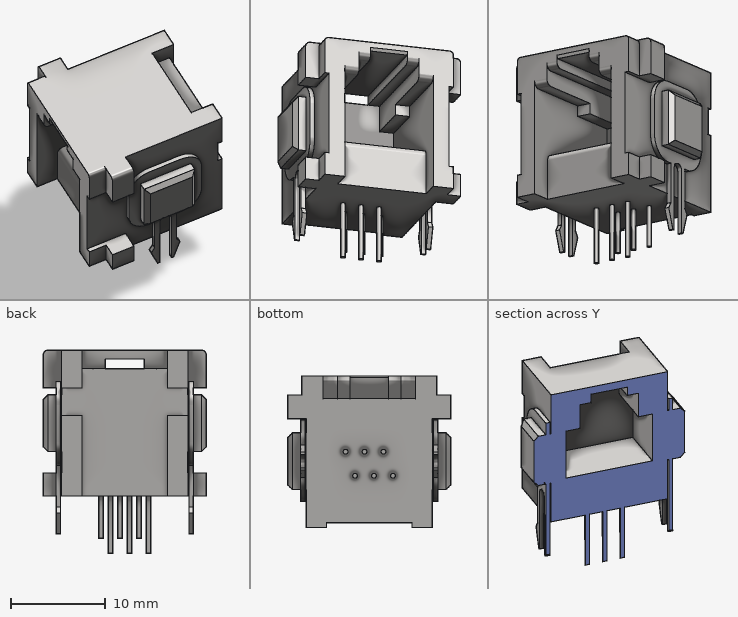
import cadquery as cq

BODY_WIDTH = 13.3
BODY_DEPTH = 16.0
BODY_HEIGHT = 15.4

EAR_SPAN = 17.2
EAR_FRONT = 2.0
EAR_BACK = 4.55
FLANGE_SPAN = 14.25
LOWER_EAR_TOP = 2.45
UPPER_EAR_BOTTOM = 11.4
EAR_ROUND = 0.5
FLANGE_ROUND = 0.4

CAVITY_WIDTH = 9.8
CAVITY_BACK = 13.45
LATCH_WIDTH = 6.65
SLOT_WIDTH = 4.1
SHOULDER_HEIGHT = 11.75
LATCH_HEIGHT = 13.45
SLOT_HEIGHT = 14.45
ENTRY_ROUND = 0.7
SLOT_LEAD_HEIGHT = 0.35
SLOT_LEAD_DEPTH = 0.15
STOP_FRONT = 8.0
STOP_BOTTOM = 10.6

FLOOR_FRONT = 2.4
FLOOR_HEIGHT = 5.0
FLOOR_ROUND = 0.7

REAR_RECESS_WIDTH = 9.0
REAR_RECESS_DEPTH = 0.5
SIDE_NOTCH_BOTTOM = 8.5
SIDE_NOTCH_TOP = UPPER_EAR_BOTTOM

PAD_SIZE = 6.0
PAD_CHAMFER = 0.5
PAD_CENTER_Y = 9.0
PAD_CENTER_Z = BODY_HEIGHT / 2
PLATE_INNER_X = 6.75
PLATE_THICKNESS = 0.5
PLATE_FRONT = 4.65
PLATE_BACK = 13.25
PLATE_BOTTOM = 3.2
PLATE_TOP = 12.1
PLATE_ROUND = 2.5
LEG_HALF_WIDTH = 1.3
LEG_TIP_Z = -4.0
LEG_TIP_HALF_WIDTH = 0.95
BARB_HALF_WIDTH = 1.7
BARB_TOP_Z = -1.15
BARB_POINT_Z = -1.8
SPLIT_WIDTH = 1.4
SPLIT_TOP_Z = 3.5

PIN_DIAMETER = 0.5
PIN_PITCH = 1.0
PIN_COUNT = 6
PIN_ROW_SPACING = 2.54
LONG_PIN_LENGTH = 6.04
LONG_PIN_Y = 8.0
SHORT_PIN_LENGTH = 4.45
SHORT_PIN_Y = LONG_PIN_Y + PIN_ROW_SPACING


def block(width, y_range, z_range):
    """Box centred on x = 0 that fills the given y and z ranges."""
    (y0, y1), (z0, z1) = y_range, z_range
    return cq.Workplane("XY").box(width, y1 - y0, z1 - z0, centered=(True, False, False)).translate((0, y0, z0))


def make_shell():
    """Outer housing with the ears, the front flange and the rear face cuts."""
    shell = block(BODY_WIDTH, (0, BODY_DEPTH), (0, BODY_HEIGHT))
    lower = (0, LOWER_EAR_TOP)
    upper = (UPPER_EAR_BOTTOM, BODY_HEIGHT)
    for span, y_range, rounding in (
        (EAR_SPAN, (EAR_FRONT, EAR_BACK), EAR_ROUND),
        (FLANGE_SPAN, (0, EAR_FRONT), FLANGE_ROUND),
    ):
        upper_bar = block(span, y_range, upper).edges("|Y and >Z").fillet(rounding)
        shell = shell.union(block(span, y_range, lower)).union(upper_bar)

    recess_front = BODY_DEPTH - REAR_RECESS_DEPTH
    rear = (recess_front, BODY_DEPTH)
    shell = shell.cut(block(REAR_RECESS_WIDTH, rear, (0, BODY_HEIGHT)))
    shell = shell.cut(block(BODY_WIDTH, rear, (SIDE_NOTCH_BOTTOM, SIDE_NOTCH_TOP)))
    return shell.cut(block(REAR_RECESS_WIDTH, (CAVITY_BACK, BODY_DEPTH), (LATCH_HEIGHT, BODY_HEIGHT)))


def rounded_entry_channel(width, roof_height):
    """Full-depth channel whose roof is rounded over at the mating face."""
    profile = (
        cq.Workplane("YZ")
        .moveTo(0, 0)
        .lineTo(CAVITY_BACK, 0)
        .lineTo(CAVITY_BACK, roof_height)
        .lineTo(ENTRY_ROUND, roof_height)
        .radiusArc((0, roof_height + ENTRY_ROUND), ENTRY_ROUND)
        .close()
    )
    return profile.extrude(width / 2, both=True)


def make_latch_slot():
    """Slot in the roof running through to the rear, with a sloped lead-in at the mating face."""
    profile = (
        cq.Workplane("YZ")
        .moveTo(0, FLOOR_HEIGHT)
        .lineTo(CAVITY_BACK, FLOOR_HEIGHT)
        .lineTo(CAVITY_BACK, SLOT_HEIGHT)
        .lineTo(SLOT_LEAD_DEPTH, SLOT_HEIGHT)
        .lineTo(0, SLOT_HEIGHT + SLOT_LEAD_HEIGHT)
        .close()
    )
    return profile.extrude(SLOT_WIDTH / 2, both=True)


def make_cavity():
    """Plug opening: wide channel, latch channel and slot, less the floor block and plug stops."""
    floor = block(CAVITY_WIDTH, (FLOOR_FRONT, CAVITY_BACK), (0, FLOOR_HEIGHT))
    floor = floor.edges("|X and <Y and >Z").fillet(FLOOR_ROUND)
    stops = block(CAVITY_WIDTH, (STOP_FRONT, CAVITY_BACK), (STOP_BOTTOM, SHOULDER_HEIGHT))
    cavity = rounded_entry_channel(CAVITY_WIDTH, SHOULDER_HEIGHT).cut(floor).cut(stops)
    latch = rounded_entry_channel(LATCH_WIDTH, LATCH_HEIGHT).cut(floor)
    return cavity.union(latch).union(make_latch_slot())


def make_clip():
    """Clip on the +X side: chamfered pad, rounded plate and split barbed leg."""
    pad_inner_x = BODY_WIDTH / 2
    pad = (
        cq.Workplane("YZ", origin=(pad_inner_x, PAD_CENTER_Y, PAD_CENTER_Z))
        .rect(PAD_SIZE, PAD_SIZE)
        .extrude(EAR_SPAN / 2 - pad_inner_x)
        .faces(">X")
        .chamfer(PAD_CHAMFER)
    )
    plate = (
        cq.Workplane("YZ", origin=(PLATE_INNER_X, 0, 0))
        .center((PLATE_FRONT + PLATE_BACK) / 2, (PLATE_BOTTOM + PLATE_TOP) / 2)
        .rect(PLATE_BACK - PLATE_FRONT, PLATE_TOP - PLATE_BOTTOM)
        .extrude(PLATE_THICKNESS)
        .edges("|X")
        .fillet(PLATE_ROUND)
    )
    leg_plane = cq.Workplane("YZ", origin=(PLATE_INNER_X, PAD_CENTER_Y, 0))
    back_edge = [
        (LEG_HALF_WIDTH, PAD_CENTER_Z),
        (LEG_HALF_WIDTH, BARB_TOP_Z),
        (BARB_HALF_WIDTH, BARB_POINT_Z),
        (LEG_TIP_HALF_WIDTH, LEG_TIP_Z),
    ]
    front_edge = [(-y, z) for y, z in reversed(back_edge)]
    leg = leg_plane.polyline(back_edge + front_edge).close().extrude(PLATE_THICKNESS)

    split_radius = SPLIT_WIDTH / 2
    split_arc_z = SPLIT_TOP_Z - split_radius
    split = (
        leg_plane.moveTo(-split_radius, LEG_TIP_Z)
        .lineTo(split_radius, LEG_TIP_Z)
        .lineTo(split_radius, split_arc_z)
        .threePointArc((0, SPLIT_TOP_Z), (-split_radius, split_arc_z))
        .close()
        .extrude(PLATE_THICKNESS)
    )
    return pad.union(plate.union(leg).cut(split))


def make_pin(index):
    """Contact pin below the housing; even pins are long, odd pins are short and further back."""
    x = (index - (PIN_COUNT - 1) / 2) * PIN_PITCH
    if index % 2 == 0:
        y, length = LONG_PIN_Y, LONG_PIN_LENGTH
    else:
        y, length = SHORT_PIN_Y, SHORT_PIN_LENGTH
    return cq.Workplane("XY", origin=(x, y, 0)).circle(PIN_DIAMETER / 2).extrude(-length)


result = make_shell().cut(make_cavity())
clip = make_clip()
result = result.union(clip).union(clip.mirror("YZ"))
for pin_index in range(PIN_COUNT):
    result = result.union(make_pin(pin_index))